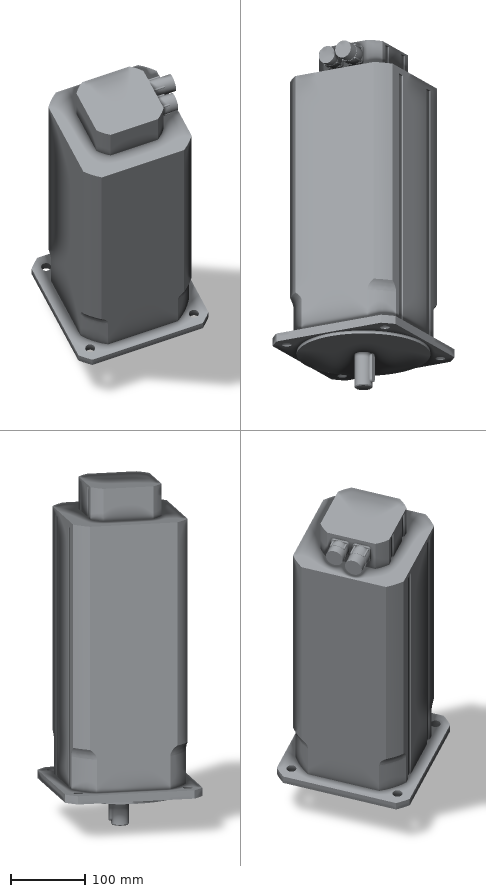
import cadquery as cq
import math


shaft_diameter = 24.0
shaft_length = 47.0
shaft_chamfer = 1.5
key_width = 8.0
key_length = 40.5
key_start = 5.5
key_reach = 15.0

spigot_diameter = 180.0
spigot_height = 4.5
flange_side = 190.0
flange_corner_diameter = 249.5
flange_thickness = 11.5
bolt_hole_diameter = 13.5
bolt_hole_pitch = 151.5

body_side = 158.5
body_corner_diameter = 199.0
body_top = 429.5
relief_diameter = 188.0
relief_height = 45.5
relief_runout = 13.7
body_groove_spacing = 74.5
body_groove_width = 11.0
body_groove_top_margin = 8.5

head_side = 98.0
head_corner_diameter = 120.0
head_top = 474.0
head_groove_spacing = 44.0
head_groove_width = 9.0
head_groove_top_margin = 3.5
groove_depth = 2.5

connector_spacing = 31.0
connector_z = 454.0
plate_side = 25.0
plate_corner_radius = 4.0
plate_thickness = 3.0
barrel_diameter = 25.0
collar_diameter = 24.0
screw_diameter = 2.7
screw_pitch = 18.5
power_collar_start = 68.0
power_tip = 83.5
signal_collar_start = 62.0
signal_tip = 73.5

flange_bottom = shaft_length + spigot_height
flange_top = flange_bottom + flange_thickness
relief_top = flange_top + relief_height
head_back = head_side / 2


def cylinder(diameter, bottom, top):
    """Cylinder on the motor axis between two levels."""
    return cq.Workplane("XY").workplane(offset=bottom).circle(diameter / 2).extrude(top - bottom)


def turned_square(side, corner_diameter, bottom, top):
    """Square block whose four corners are turned down to a cylinder."""
    block = cq.Workplane("XY").workplane(offset=bottom).rect(side, side).extrude(top - bottom)
    return block.intersect(cylinder(corner_diameter, bottom, top))


def side_grooves(side, spacing, width, bottom, top):
    """Two upright grooves in the -X face of a square block."""
    return (
        cq.Workplane("XY", origin=(-side / 2, 0, bottom))
        .pushPoints([(0, -spacing / 2), (0, spacing / 2)])
        .rect(2 * groove_depth, width)
        .extrude(top - bottom)
    )


def make_shaft():
    shaft = cylinder(shaft_diameter, 0, shaft_length).faces("<Z").chamfer(shaft_chamfer)
    key = (
        cq.Workplane("YZ", origin=(-key_reach, 0, key_start + key_length / 2))
        .slot2D(key_length, key_width, 90)
        .extrude(key_reach)
    )
    return shaft.union(key)


def make_flange():
    spigot = cylinder(spigot_diameter, shaft_length, flange_bottom)
    plate = turned_square(flange_side, flange_corner_diameter, flange_bottom, flange_top)
    bolt_holes = (
        cq.Workplane("XY")
        .workplane(offset=shaft_length)
        .rect(bolt_hole_pitch, bolt_hole_pitch, forConstruction=True)
        .vertices()
        .circle(bolt_hole_diameter / 2)
        .extrude(flange_top - shaft_length)
    )
    return plate.cut(bolt_holes).union(spigot)


def make_body_envelope():
    """Solid of revolution that turns the body corners: narrow relief, concave blend, full corner."""
    relief_radius = relief_diameter / 2
    corner_radius = body_corner_diameter / 2
    blend_step = corner_radius - relief_radius
    blend_radius = (relief_runout**2 + blend_step**2) / (2 * blend_step)
    half_angle = math.asin(relief_runout / blend_radius) / 2
    blend_middle = (
        relief_radius + blend_radius * (1 - math.cos(half_angle)),
        relief_top + blend_radius * math.sin(half_angle),
    )
    return (
        cq.Workplane("XZ")
        .moveTo(0, flange_top)
        .lineTo(relief_radius, flange_top)
        .lineTo(relief_radius, relief_top)
        .threePointArc(blend_middle, (corner_radius, relief_top + relief_runout))
        .lineTo(corner_radius, body_top)
        .lineTo(0, body_top)
        .close()
        .revolve(360, (0, 0), (0, 1))
    )


def make_body():
    block = (
        cq.Workplane("XY")
        .workplane(offset=flange_top)
        .rect(body_side, body_side)
        .extrude(body_top - flange_top)
    )
    grooves = side_grooves(
        body_side, body_groove_spacing, body_groove_width, flange_top, body_top - body_groove_top_margin
    )
    return block.intersect(make_body_envelope()).cut(grooves)


def make_head():
    block = turned_square(head_side, head_corner_diameter, body_top, head_top)
    grooves = side_grooves(
        head_side, head_groove_spacing, head_groove_width, body_top, head_top - head_groove_top_margin
    )
    return block.cut(grooves)


def make_motor():
    return make_shaft().union(make_flange()).union(make_body()).union(make_head())


def make_connector(x, collar_start, tip):
    """Round connector on a square plate, pointing along +Y from the head."""
    plate_front = head_back + plate_thickness

    def sketch_plane(y):
        return cq.Workplane("XZ", origin=(x, y, connector_z))

    plate = (
        sketch_plane(head_back)
        .rect(plate_side, plate_side)
        .extrude(-plate_thickness)
        .edges("|Y")
        .fillet(plate_corner_radius)
    )
    barrel = sketch_plane(plate_front).circle(barrel_diameter / 2).extrude(plate_front - collar_start)
    screws = (
        sketch_plane(plate_front)
        .rect(screw_pitch, screw_pitch, forConstruction=True)
        .vertices()
        .circle(screw_diameter / 2)
        .extrude(plate_front - collar_start)
    )
    collar = sketch_plane(collar_start).circle(collar_diameter / 2).extrude(collar_start - tip)
    return plate.union(barrel).union(screws).union(collar)


motor = make_motor()
power_connector = make_connector(-connector_spacing / 2, power_collar_start, power_tip)
signal_connector = make_connector(connector_spacing / 2, signal_collar_start, signal_tip)

result = cq.Compound.makeCompound([motor.val(), power_connector.val(), signal_connector.val()])